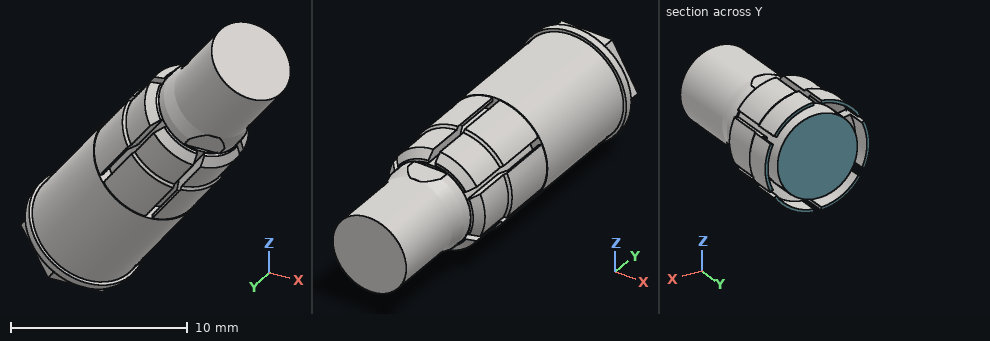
import cadquery as cq
import math

total_length = 22.0

head_length = 1.0
flange_length = 0.5
flange_radius = 3.7
flange_end = head_length + flange_length

body_radius = 3.5
body_end = 9.17

collet_radius = 3.45
collet_step_start = 12.7
collet_nose_radius = 3.3
collet_step_end = collet_step_start + collet_radius - collet_nose_radius
collet_bevel_start = 15.2
collet_bevel = 0.48
collet_end = collet_bevel_start + collet_bevel
collet_tip_radius = collet_nose_radius - collet_bevel

hollow_radius = 3.23
hollow_cylinder_end = 12.25
hollow_cone_angle = 65.0
slot_count = 6
slot_width = 0.46

core_radius = 2.65
collar_start = 15.8
collar_radius = 2.73
collar_cylinder_end = 16.45
collar_end = 17.34
collar_flat_height = 2.49
tip_radius = 2.5


def turned(points):
    """Revolve a (radius, station) outline about the Y axis."""
    outline = [(radius, -station) for radius, station in points]
    return cq.Workplane("XY").polyline(outline).close().revolve(360, (0, 0), (0, 1))


def hexagonal_head():
    """Hexagonal prism with corners on the X axis, as wide over corners as the body."""
    return cq.Workplane("XZ").polygon(6, 2 * body_radius).extrude(head_length)


def flange_and_body():
    return turned([
        (0, head_length),
        (flange_radius, head_length),
        (flange_radius, flange_end),
        (body_radius, flange_end),
        (body_radius, body_end),
        (0, body_end),
    ])


def collet_hollow():
    """Ring-shaped space around the core, closed by a cone at the nose."""
    cone_length = (hollow_radius - core_radius) / math.tan(math.radians(hollow_cone_angle))
    return turned([
        (core_radius, body_end),
        (hollow_radius, body_end),
        (hollow_radius, hollow_cylinder_end),
        (core_radius, hollow_cylinder_end + cone_length),
    ])


def collet():
    """Sleeve around the core, hollowed and split into equal fingers."""
    sleeve = turned([
        (core_radius, body_end),
        (collet_radius, body_end),
        (collet_radius, collet_step_start),
        (collet_nose_radius, collet_step_end),
        (collet_nose_radius, collet_bevel_start),
        (collet_tip_radius, collet_end),
        (core_radius, collet_end),
    ])
    sleeve = sleeve.cut(collet_hollow())
    slot_length = collet_end - body_end
    slot = cq.Workplane("XY").box(slot_width, slot_length, body_radius, centered=(True, True, False))
    slot = slot.translate((0, -(body_end + collet_end) / 2, 0))
    for index in range(slot_count):
        sleeve = sleeve.cut(slot.rotate((0, 0, 0), (0, 1, 0), index * 360 / slot_count))
    return sleeve


def core():
    """Solid pin inside the collet, reaching from the body to the collar."""
    return turned([
        (0, body_end),
        (core_radius, body_end),
        (core_radius, collar_start),
        (0, collar_start),
    ])


def collar():
    """Tapered collar with a flat on its +Z and -Z sides."""
    ring = turned([
        (0, collar_start),
        (collar_radius, collar_start),
        (collar_radius, collar_cylinder_end),
        (tip_radius, collar_end),
        (0, collar_end),
    ])
    length = collar_end - collar_start
    between_flats = cq.Workplane("XY").box(2 * collar_radius, length, 2 * collar_flat_height)
    between_flats = between_flats.translate((0, -(collar_start + collar_end) / 2, 0))
    return ring.intersect(between_flats)


def round_tip():
    return turned([
        (0, collar_end),
        (tip_radius, collar_end),
        (tip_radius, total_length),
        (0, total_length),
    ])


result = (
    hexagonal_head()
    .union(flange_and_body())
    .union(core())
    .union(collet())
    .union(collar())
    .union(round_tip())
)